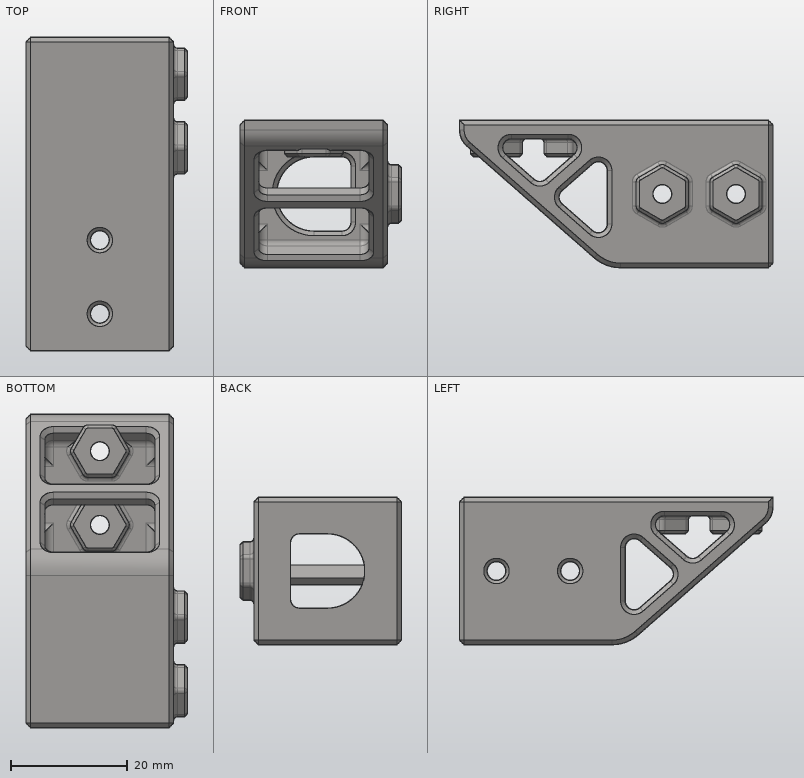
import cadquery as cq
import math

WIDTH = 25.4
HEIGHT = WIDTH
LENGTH = 54.0
SLOPE_TOP = 22.1
SLOPE_RUN = 25.15
TIP_RADIUS = 3.65
HEEL_RADIUS = 6.85
CHAMFER = 0.8

SIDE_WALL = 3.25
ROOF = 3.25
STRUT = 3.35
BAR_DEPTH = 2.4
BAR_DROP = 0.25
CORNER_RADIUS = 1.5
REAR_WALL_Y = 25.4

BORE = 12.75
HOLE = 3.2
HOLE_CHAMFER = 0.6
HOLE_PITCH = 12.7
HOLE_INSET = 6.35

BOSS_FLATS = 9.0
BOSS_HEIGHT = 2.4
ROOF_BOSS_HEIGHT = 3.1
BOSS_EDGE_RADIUS = 0.9
BOSS_CHAMFER = 0.55
BOSS_FILLET = 0.65
ROOT_DEPTH = 0.55

OVERSHOOT = 5.4

half_width = WIDTH / 2
mid_height = HEIGHT / 2
inner_width = WIDTH - 2 * SIDE_WALL
roof_z = HEIGHT - ROOF
side_hole_places = (LENGTH - HOLE_INSET, LENGTH - HOLE_INSET - HOLE_PITCH)
top_hole_places = (HOLE_INSET, HOLE_INSET + HOLE_PITCH)

slope_angle = math.atan2(SLOPE_TOP, SLOPE_RUN)
slope_tan = math.tan(slope_angle)
slope_inward = (math.sin(slope_angle), math.cos(slope_angle))
strut_line_z = SLOPE_TOP + STRUT / math.cos(slope_angle)
cavity_front = ((strut_line_z - roof_z) / slope_tan, roof_z)
cavity_heel = (REAR_WALL_Y, strut_line_z - slope_tan * REAR_WALL_Y)

slope_plane = cq.Plane(
    origin=(0, SLOPE_RUN / 2, SLOPE_TOP / 2),
    xDir=(1, 0, 0),
    normal=(0, -slope_inward[0], -slope_inward[1]),
)


def shifted_to_slope(point):
    """Move a (y, z) point square to the slope until it lies clear outside the body."""
    distance = STRUT + OVERSHOOT
    return (point[0] - distance * slope_inward[0], point[1] - distance * slope_inward[1])


def prism_across(points, width):
    """Prism of a closed (y, z) outline, centred on X = 0."""
    return cq.Workplane("YZ").polyline(points).close().extrude(width / 2, both=True)


def chamfered_cutter(plane, sketch, depth, chamfer=CHAMFER):
    """Cutter with a chamfered mouth, running inwards from a plane that faces out of the body."""
    straight = cq.Workplane(plane).placeSketch(sketch).extrude(-depth)
    mouth = cq.Workplane(plane).workplane(offset=-chamfer).placeSketch(sketch).extrude(chamfer, taper=-45)
    return straight.union(mouth)


def make_wedge():
    """Sharp-edged outer form of the body."""
    outline = [
        (LENGTH, 0),
        (LENGTH, HEIGHT),
        (0, HEIGHT),
        (0, SLOPE_TOP),
        (SLOPE_RUN, 0),
    ]
    return prism_across(outline, WIDTH)


def make_rounded_wedge():
    """Outer form with rounded slope ends and chamfered side and rear edges."""
    wedge = make_wedge()
    wedge = wedge.edges(cq.NearestToPointSelector((0, 0, SLOPE_TOP))).fillet(TIP_RADIUS)
    wedge = wedge.edges(cq.NearestToPointSelector((0, SLOPE_RUN, 0))).fillet(HEEL_RADIUS)
    return wedge.faces("<X or >X or >Y").edges().chamfer(CHAMFER)


def make_cavity():
    """Hollow behind the slope, open through it except for a crossbar."""
    outline = [
        cavity_heel,
        (REAR_WALL_Y, roof_z),
        cavity_front,
        shifted_to_slope(cavity_front),
        shifted_to_slope(cavity_heel),
    ]
    cavity = prism_across(outline, inner_width)
    bar = (
        cq.Workplane(slope_plane)
        .workplane(offset=-BAR_DEPTH)
        .center(0, -BAR_DROP)
        .rect(inner_width, STRUT)
        .extrude(BAR_DEPTH + 2 * OVERSHOOT)
    )
    window_corners = cq.ParallelDirSelector(slope_plane.zDir)
    inner_corners = cq.StringSyntaxSelector("|Y or |Z or (|X and (>Y or >Z))")
    return cavity.cut(bar).edges(window_corners + inner_corners).fillet(CORNER_RADIUS)


def chamfer_windows(body):
    """Chamfer the mouths of the two windows left in the slope by the cavity."""
    slope_face = body.faces(cq.DirectionMinMaxSelector(slope_plane.zDir)).val()
    window_edges = [edge for wire in slope_face.innerWires() for edge in wire.Edges()]
    return body.newObject(window_edges).chamfer(CHAMFER)


def make_side_triangles():
    """Rounded triangles through both side walls, either side of a diagonal strut.

    The strut starts from the middle of the slope and is inclined like the slope, mirrored.
    """
    strut_offset = STRUT / 2 / math.cos(slope_angle)
    rear_corner = (REAR_WALL_Y, slope_tan * REAR_WALL_Y - strut_offset)
    roof_corner = ((roof_z - strut_offset) / slope_tan, roof_z)
    rear_tip = ((strut_line_z + strut_offset) / 2 / slope_tan, (strut_line_z - strut_offset) / 2)
    front_tip = ((strut_line_z - strut_offset) / 2 / slope_tan, (strut_line_z + strut_offset) / 2)
    side_plane = cq.Plane(origin=(-half_width, 0, 0), xDir=(0, -1, 0), normal=(-1, 0, 0))
    triangles = cq.Workplane()
    for corners in (
        (cavity_heel, rear_corner, rear_tip),
        (cavity_front, roof_corner, front_tip),
    ):
        points = [(-y, z) for y, z in corners]
        sketch = cq.Sketch().polygon(points + points[:1]).vertices().fillet(CORNER_RADIUS)
        cutter = chamfered_cutter(side_plane, sketch, half_width)
        triangles = triangles.add(cutter).add(cutter.mirror("YZ"))
    return triangles.combine()


def make_bore():
    """D-shaped bore along the rear block, rounded on its -X side."""
    sketch = (
        cq.Sketch()
        .circle(BORE / 2)
        .push([(BORE / 4, 0)])
        .rect(BORE / 2, BORE)
        .reset()
        .clean()
        .vertices(">X")
        .fillet(CORNER_RADIUS)
    )
    plane = cq.Plane(origin=(0, REAR_WALL_Y, mid_height), xDir=(1, 0, 0), normal=(0, -1, 0))
    return chamfered_cutter(plane, sketch, LENGTH - REAR_WALL_Y)


def make_boss(plane, height):
    """Rounded hexagonal boss with a chamfered end, two corners lying on the local x axis.

    A thin root plate, buried in the wall below the boss, carries the fillet around its foot.
    """
    across_corners = BOSS_FLATS / math.cos(math.pi / 6)
    boss = (
        cq.Workplane(plane)
        .polygon(6, across_corners)
        .extrude(height)
        .edges(cq.ParallelDirSelector(plane.zDir))
        .fillet(BOSS_EDGE_RADIUS)
        .faces(cq.DirectionMinMaxSelector(plane.zDir))
        .chamfer(BOSS_CHAMFER)
    )
    root_margin = 3 * BOSS_FILLET
    root = (
        cq.Workplane(plane)
        .rect(across_corners + root_margin, BOSS_FLATS + root_margin)
        .extrude(-ROOT_DEPTH)
    )
    boss = boss.union(root)
    foot_face = boss.faces(cq.NearestToPointSelector(plane.origin)).val()
    return boss.newObject(foot_face.innerWires()[0].Edges()).fillet(BOSS_FILLET)


def add_bosses(body):
    for y in side_hole_places:
        plane = cq.Plane(origin=(half_width, y, mid_height), xDir=(0, 0, 1), normal=(1, 0, 0))
        body = body.union(make_boss(plane, BOSS_HEIGHT))
    for y in top_hole_places:
        plane = cq.Plane(origin=(0, y, roof_z), xDir=(1, 0, 0), normal=(0, 0, -1))
        body = body.union(make_boss(plane, ROOF_BOSS_HEIGHT))
    return body


def cut_screw_holes(body):
    """Holes across the rear block and through the roof, chamfered where the screws enter."""
    sketch = cq.Sketch().circle(HOLE / 2)
    for y in side_hole_places:
        plane = cq.Plane(origin=(-half_width, y, mid_height), xDir=(0, -1, 0), normal=(-1, 0, 0))
        body = body.cut(chamfered_cutter(plane, sketch, WIDTH + OVERSHOOT, HOLE_CHAMFER))
    for y in top_hole_places:
        plane = cq.Plane(origin=(0, y, HEIGHT), xDir=(1, 0, 0), normal=(0, 0, 1))
        body = body.cut(chamfered_cutter(plane, sketch, ROOF + OVERSHOOT, HOLE_CHAMFER))
    return body


result = make_wedge().cut(make_cavity())
result = chamfer_windows(result).intersect(make_rounded_wedge())
result = result.cut(make_side_triangles()).cut(make_bore())
result = add_bosses(result)
result = cut_screw_holes(result)